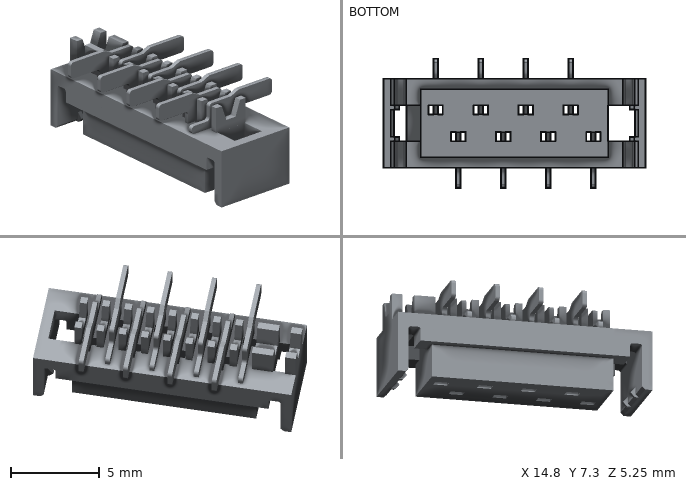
import cadquery as cq

LENGTH = 14.79
DEPTH = 5.03
BODY_TOP = 3.48
BODY_BOTTOM = 1.88
LEG_THICKNESS = 0.6
LEG_CHAMFER = 0.18
SLOT_END = 1.3
SLOT_TOP = 2.68
SLOT_RADIUS = 0.15
CORE_START = 2.11
CORE_DEPTH = 3.85

HOOK_REACH = 0.3
HOOK_TOP = 0.59
HOOK_TIP_HEIGHT = 0.27
HOOK_FOOT_REACH = 0.05
HOOK_INNER_Y = 0.77

CONTACT_COUNT = 8
CONTACT_ROW_LENGTH = 8.89
PITCH = CONTACT_ROW_LENGTH / (CONTACT_COUNT - 1)
CONTACT_THICKNESS = 0.27
CONTACT_TOP = 5.25
CONTACT_RADIUS = 0.2
ARM_END = 3.65
ARM_BOTTOM = 4.25
NECK_Y = 1.5
SLOPE_OUTER_Y = 1.17
SLOPE_INNER_Y = 0.6
TAIL_END = 2.3
TAIL_TOP = 3.96
STEP_Y = 0.99

RIB_TOP = 5.0
RIB_THICKNESS = 0.4
RIB_DEPTH = 2.19
NOTCH_TOP_WIDTH = 1.35
NOTCH_FLOOR_WIDTH = 0.68
NOTCH_FLOOR = 4.05

WINDOW_DEPTH = 2.01
CONTACT_HOLE_LENGTH = 0.8
CONTACT_HOLE_DEPTH = 0.5

MIDDLE = LENGTH / 2


def box(x_range, y_range, z_range):
    """Box between pairs of limits along X, Y and Z."""
    (x0, x1), (y0, y1), (z0, z1) = x_range, y_range, z_range
    return cq.Workplane("XY").box(x1 - x0, y1 - y0, z1 - z0, centered=False).translate((x0, y0, z0))


def centered_range(center, size):
    return (center - size / 2, center + size / 2)


def mirrored_pair(solid):
    """A solid at the -X end together with its mirror image at the +X end."""
    return solid.union(solid.mirror("YZ", (MIDDLE, 0, 0)))


def contact_center(index):
    return MIDDLE + (index - (CONTACT_COUNT - 1) / 2) * PITCH


def contact_side(index):
    """Y direction of the long arm: -1 or +1."""
    return -1 if index % 2 == 0 else 1


def make_housing():
    across = centered_range(0, DEPTH)
    bar = box((0, LENGTH), across, (BODY_BOTTOM, BODY_TOP))
    leg = box((0, LEG_THICKNESS), across, (0, BODY_TOP))
    leg = leg.edges("|Y and >X and <Z").chamfer(LEG_CHAMFER)
    slot = box((LEG_THICKNESS, SLOT_END), across, (0, SLOT_TOP))
    slot = slot.edges("|Y and >Z").fillet(SLOT_RADIUS)
    core = box((CORE_START, LENGTH - CORE_START), centered_range(0, CORE_DEPTH), (0, BODY_BOTTOM))
    return bar.union(mirrored_pair(leg)).cut(mirrored_pair(slot)).union(core)


def make_end_windows():
    """Rectangular openings between each leg and the core."""
    window = box((LEG_THICKNESS, CORE_START), centered_range(0, WINDOW_DEPTH), (0, BODY_TOP))
    return mirrored_pair(window)


def make_hooks():
    """Four pointed noses in the window corners, two on each leg and rooted inside it."""
    width = WINDOW_DEPTH / 2 - HOOK_INNER_Y
    root_x = LEG_THICKNESS - LEG_CHAMFER
    profile = [
        (root_x, 0),
        (LEG_THICKNESS + HOOK_FOOT_REACH, 0),
        (LEG_THICKNESS + HOOK_REACH, HOOK_TIP_HEIGHT),
        (LEG_THICKNESS, HOOK_TOP),
        (root_x, HOOK_TOP),
    ]
    nose = cq.Workplane("XZ", origin=(0, -HOOK_INNER_Y, 0)).polyline(profile).close().extrude(width)
    return mirrored_pair(nose.union(nose.mirror("XZ")))


def make_rib(x_start, x_end, z_bottom):
    """Upright block with a tapered notch in its top edge."""
    rib = box((x_start, x_end), centered_range(0, RIB_DEPTH), (z_bottom, RIB_TOP))
    notch_profile = [
        (-NOTCH_TOP_WIDTH / 2, RIB_TOP),
        (-NOTCH_FLOOR_WIDTH / 2, NOTCH_FLOOR),
        (NOTCH_FLOOR_WIDTH / 2, NOTCH_FLOOR),
        (NOTCH_TOP_WIDTH / 2, RIB_TOP),
    ]
    notch = cq.Workplane("YZ", origin=(x_start, 0, 0)).polyline(notch_profile).close()
    notch = notch.extrude(x_end - x_start)
    return rib.cut(notch)


def make_ribs():
    ribs = make_rib(0, LEG_THICKNESS, SLOT_TOP)
    wide_rib_end = contact_center(0) - PITCH / 2 + RIB_THICKNESS / 2
    ribs = ribs.union(make_rib(SLOT_END, wide_rib_end, SLOT_TOP))
    for index in range(CONTACT_COUNT):
        rib_start = contact_center(index) + PITCH / 2 - RIB_THICKNESS / 2
        ribs = ribs.union(make_rib(rib_start, rib_start + RIB_THICKNESS, BODY_TOP))
    return ribs


def make_contact_holes():
    """One hole per contact, under the long arm side, flush with the edge of the end windows."""
    hole_y = (WINDOW_DEPTH - CONTACT_HOLE_DEPTH) / 2
    holes = cq.Workplane("XY")
    for index in range(CONTACT_COUNT):
        along = centered_range(contact_center(index), CONTACT_HOLE_LENGTH)
        across = centered_range(contact_side(index) * hole_y, CONTACT_HOLE_DEPTH)
        holes = holes.add(box(along, across, (0, BODY_TOP)))
    return holes.combine()


def make_contact():
    """Contact centred on X = 0 with its long arm toward +Y and its low tail toward -Y."""
    sharp, rounded = False, True
    corners = [
        (NECK_Y, BODY_TOP, sharp),
        (NECK_Y, ARM_BOTTOM, rounded),
        (ARM_END, ARM_BOTTOM, rounded),
        (ARM_END, CONTACT_TOP, rounded),
        (SLOPE_OUTER_Y, CONTACT_TOP, sharp),
        (SLOPE_INNER_Y, RIB_TOP, sharp),
        (-STEP_Y, RIB_TOP, rounded),
        (-STEP_Y, TAIL_TOP, rounded),
        (-TAIL_END, TAIL_TOP, rounded),
        (-TAIL_END, BODY_TOP, rounded),
    ]
    profile = [(y, z) for y, z, _ in corners]
    contact = cq.Workplane("YZ", origin=(-CONTACT_THICKNESS / 2, 0, 0))
    contact = contact.polyline(profile).close().extrude(CONTACT_THICKNESS)
    for y, z, finish in corners:
        if finish == rounded:
            corner_edge = cq.selectors.NearestToPointSelector((0, y, z))
            contact = contact.edges("|X").edges(corner_edge).fillet(CONTACT_RADIUS)
    return contact


def place_contact(contact, index):
    turned = contact if contact_side(index) > 0 else contact.mirror("XZ")
    return turned.translate((contact_center(index), 0, 0))


result = make_housing().cut(make_end_windows()).union(make_hooks())
result = result.union(make_ribs()).cut(make_contact_holes())
contact_blank = make_contact()
for contact_index in range(CONTACT_COUNT):
    result = result.union(place_contact(contact_blank, contact_index))

result = result.translate((-MIDDLE, 0, 0))